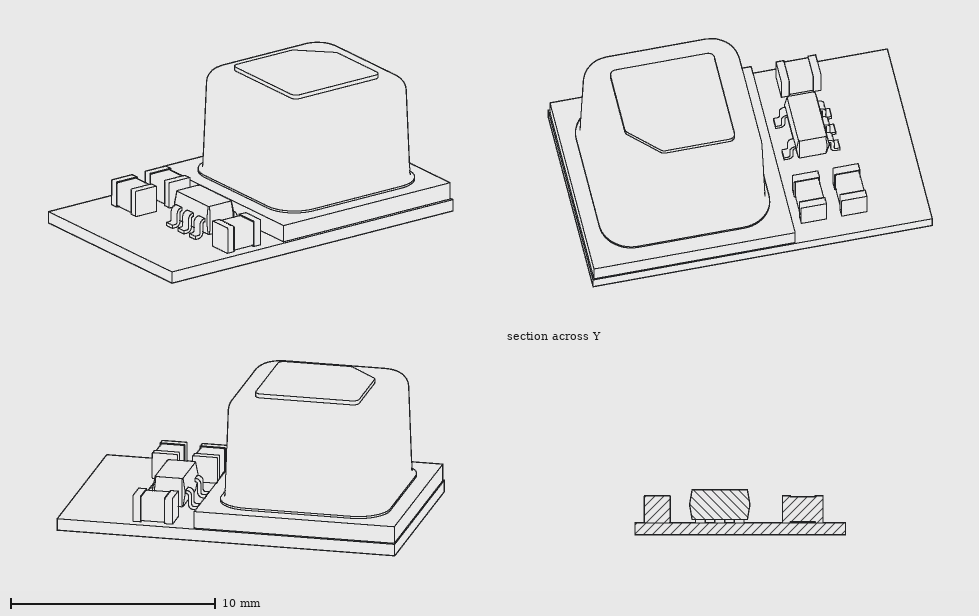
import cadquery as cq
import math

BOARD_WIDTH = 10.3
BOARD_LENGTH = 17.0
BOARD_THICKNESS = 0.6

TOTAL_HEIGHT = 6.94
SENSOR_X = 5.1
SENSOR_Y = 11.9
BASE_SIZE = 10.08
BASE_TOP_Z = 1.45

FLANGE_SIZE = 8.5
FLANGE_CORNER_RADIUS = 1.6
FLANGE_HEIGHT = 0.1

CAP_FOOT_SIZE = 8.08
CAP_TOP_Z = 6.73
CAP_DRAFT = 1.7
CAP_CORNER_RADIUS = 1.41
CAP_TOP_FILLET = 0.68
CAP_FOOT_FILLET = 0.19

LABEL_SIZE = 5.2
LABEL_CHAMFER = 1.55
LABEL_CORNER_RADIUS = 0.3

CAPACITOR_LENGTH = 1.99
CAPACITOR_WIDTH = 1.28
CAPACITOR_HEIGHT = 1.33
TERMINAL_LENGTH = 0.39
CAPACITOR_INSET = 0.05
CAPACITOR_FILLET = 0.05
CAPACITOR_PLACES = [
    (2.09, 5.7, 0),
    (2.09, 3.67, 0),
    (9.21, 4.7, 90),
]

CHIP_X = 6.15
CHIP_Y = 4.95
CHIP_LENGTH = 2.94
CHIP_WIDTH = 1.63
CHIP_CORNER_CHAMFER = 0.12
CHIP_BOTTOM_Z = 0.75
CHIP_TOP_Z = 2.21
CHIP_DRAFT = 10.0

LEAD_THICKNESS = 0.17
LEAD_WIDTH = 0.5
LEAD_PITCH = 0.95
LEAD_SPAN = 2.8
LEAD_FLAT = 0.19
LEAD_INNER_RADIUS = 0.1
FRONT_LEAD_SLOTS = [-1, 0, 1]
BACK_LEAD_SLOTS = [-1, 1]


def make_board():
    return cq.Workplane("XY").box(BOARD_WIDTH, BOARD_LENGTH, BOARD_THICKNESS, centered=False)


def sensor_plane(z):
    return cq.Workplane("XY", origin=(SENSOR_X, SENSOR_Y, z))


def make_sensor():
    """The sensor, one solid: base plate, flanged cap and label plate."""
    base_height = BASE_TOP_Z - BOARD_THICKNESS
    base = sensor_plane(BOARD_THICKNESS).rect(BASE_SIZE, BASE_SIZE).extrude(base_height)

    flange = (
        sensor_plane(BASE_TOP_Z)
        .rect(FLANGE_SIZE, FLANGE_SIZE)
        .extrude(FLANGE_HEIGHT)
        .edges("|Z")
        .fillet(FLANGE_CORNER_RADIUS)
    )

    flange_top_z = BASE_TOP_Z + FLANGE_HEIGHT
    cap = (
        sensor_plane(flange_top_z)
        .rect(CAP_FOOT_SIZE, CAP_FOOT_SIZE)
        .extrude(CAP_TOP_Z - flange_top_z, taper=CAP_DRAFT)
        .edges("not(#Z)")
        .fillet(CAP_CORNER_RADIUS)
        .faces(">Z")
        .edges()
        .fillet(CAP_TOP_FILLET)
    )

    joint_reach = (CAP_FOOT_SIZE / 2 + FLANGE_SIZE / 2) / 2
    joint = cq.selectors.BoxSelector(
        (SENSOR_X - joint_reach, SENSOR_Y - joint_reach, flange_top_z - FLANGE_HEIGHT / 2),
        (SENSOR_X + joint_reach, SENSOR_Y + joint_reach, flange_top_z + FLANGE_HEIGHT / 2),
        boundingbox=True,
    )
    housing = flange.union(cap).edges(joint).fillet(CAP_FOOT_FILLET)

    label = (
        sensor_plane(CAP_TOP_Z)
        .rect(LABEL_SIZE, LABEL_SIZE)
        .extrude(TOTAL_HEIGHT - CAP_TOP_Z)
        .edges("|Z and <X and >Y")
        .chamfer(LABEL_CHAMFER)
        .edges("|Z")
        .fillet(LABEL_CORNER_RADIUS)
    )
    return base.union(housing).union(label)


def make_capacitor(x, y, angle):
    """A chip capacitor: a ceramic block between two slightly larger end terminals."""

    def block(length, inset, offset):
        return (
            cq.Workplane("XY")
            .box(length, CAPACITOR_WIDTH - 2 * inset, CAPACITOR_HEIGHT - 2 * inset)
            .edges("|X")
            .fillet(CAPACITOR_FILLET)
            .translate((offset, 0, BOARD_THICKNESS + CAPACITOR_HEIGHT / 2))
        )

    terminal_offset = (CAPACITOR_LENGTH - TERMINAL_LENGTH) / 2
    capacitor = block(CAPACITOR_LENGTH - 2 * TERMINAL_LENGTH, CAPACITOR_INSET, 0)
    for side in (-1, 1):
        capacitor = capacitor.union(block(TERMINAL_LENGTH, 0, side * terminal_offset))
    return capacitor.rotate((0, 0, 0), (0, 0, 1), angle).translate((x, y, 0))


def make_lead(slot, side):
    """A gull-wing lead: flat shoulder, rounded bend down, and a foot on the board."""
    t = LEAD_THICKNESS
    inner = LEAD_INNER_RADIUS
    outer = inner + t
    diagonal = math.sqrt(0.5)
    top = (CHIP_BOTTOM_Z + CHIP_TOP_Z + t) / 2
    bottom = BOARD_THICKNESS
    tip = LEAD_SPAN / 2
    upright = tip - LEAD_FLAT - inner
    shoulder = upright - outer
    root = CHIP_WIDTH / 4
    foot = tip - LEAD_FLAT
    lead = (
        cq.Workplane("YZ")
        .moveTo(root, top)
        .lineTo(shoulder, top)
        .threePointArc(
            (shoulder + outer * diagonal, top - outer + outer * diagonal),
            (upright, top - outer),
        )
        .lineTo(upright, bottom + outer)
        .threePointArc(
            (foot - inner * diagonal, bottom + outer - inner * diagonal),
            (foot, bottom + t),
        )
        .lineTo(tip, bottom + t)
        .lineTo(tip, bottom)
        .lineTo(foot, bottom)
        .threePointArc(
            (foot - outer * diagonal, bottom + outer - outer * diagonal),
            (upright - t, bottom + outer),
        )
        .lineTo(upright - t, top - outer)
        .threePointArc(
            (shoulder + inner * diagonal, top - outer + inner * diagonal),
            (shoulder, top - t),
        )
        .lineTo(root, top - t)
        .close()
        .extrude(LEAD_WIDTH / 2, both=True)
    )
    if side < 0:
        lead = lead.mirror("XZ")
    return lead.translate((CHIP_X + slot * LEAD_PITCH, CHIP_Y, 0))


def make_chip():
    """The regulator, one solid: a body tapering both ways from its middle band, with leads."""
    half_band = LEAD_THICKNESS / 2
    middle_z = (CHIP_BOTTOM_Z + CHIP_TOP_Z) / 2
    slope_height = (CHIP_TOP_Z - CHIP_BOTTOM_Z) / 2 - half_band
    outline = (
        cq.Sketch()
        .rect(CHIP_LENGTH, CHIP_WIDTH)
        .vertices()
        .chamfer(CHIP_CORNER_CHAMFER)
    )

    def plane(z):
        return cq.Workplane("XY", origin=(CHIP_X, CHIP_Y, z)).placeSketch(outline)

    chip = plane(middle_z - half_band).extrude(LEAD_THICKNESS)
    chip = chip.union(plane(middle_z + half_band).extrude(slope_height, taper=CHIP_DRAFT))
    chip = chip.union(plane(middle_z - half_band).extrude(-slope_height, taper=CHIP_DRAFT))
    for side, slots in ((-1, FRONT_LEAD_SLOTS), (1, BACK_LEAD_SLOTS)):
        for slot in slots:
            chip = chip.union(make_lead(slot, side))
    return chip


board = make_board()
sensor = make_sensor()
capacitors = [make_capacitor(*place).val() for place in CAPACITOR_PLACES]
chip = make_chip()

result = cq.Compound.makeCompound([board.val(), sensor.val(), *capacitors, chip.val()])